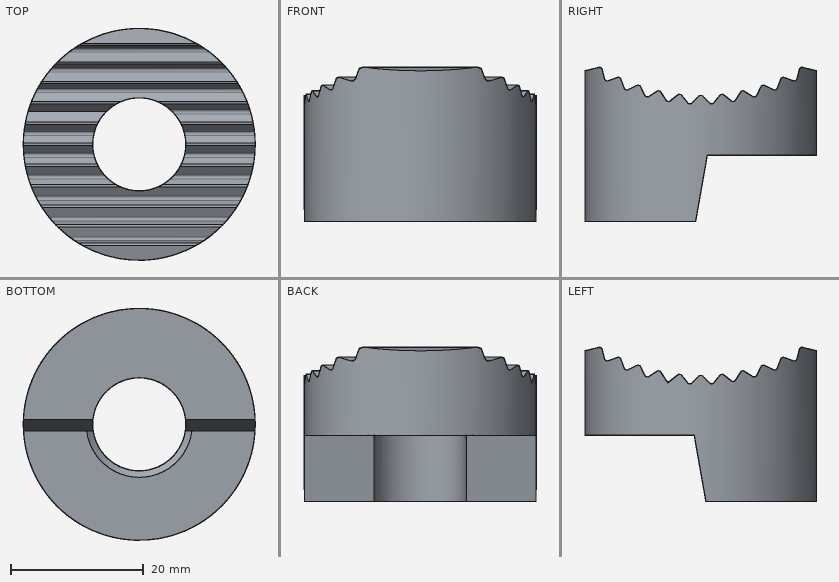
import cadquery as cq
import math

BODY_DIAMETER = 35.0
BORE_DIAMETER = 14.0
BLANK_HEIGHT = 30.0

FOOT_HEIGHT = 10.0
FOOT_WALL_Y = 1.0
FOOT_WALL_DRAFT = 10.0

BORE_CHAMFER = 1.0

SADDLE_AXIS_Z = 48.225
TIP_RADIUS = 29.0
TOOTH_PITCH = 6.21
TOOTH_HALF_ANGLE = 45.0
TEETH_PER_SIDE = 5
CREST_WIDTH = 0.38
ROOT_ROUNDING = 0.43
SHARP_ROOT = 1.5


def saddle_point(radius, angle):
    """Point (y, z) at an angle in degrees from straight below the saddle axis."""
    turn = math.radians(angle)
    return (radius * math.sin(turn), SADDLE_AXIS_Z - radius * math.cos(turn))


def root_radius():
    """Distance from the saddle axis to where the flanks of neighbouring teeth cross."""
    half_pitch = math.radians(TOOTH_PITCH / 2)
    flank = math.radians(TOOTH_HALF_ANGLE)
    return TIP_RADIUS * math.sin(flank) / math.sin(flank - half_pitch)


def root_point(position):
    """Sharp root at a position counted in pitches from the middle tooth."""
    return saddle_point(root_radius(), position * TOOTH_PITCH)


def crest_corners(tooth):
    """Both edges of a tooth's flat crest, -Y edge first."""
    truncation = CREST_WIDTH / 2 / math.tan(math.radians(TOOTH_HALF_ANGLE))
    crest_distance = TIP_RADIUS + truncation
    corner_angle = math.degrees(math.atan(CREST_WIDTH / 2 / crest_distance))
    corner_radius = math.hypot(crest_distance, CREST_WIDTH / 2)
    centre_angle = tooth * TOOTH_PITCH
    return [
        saddle_point(corner_radius, centre_angle - corner_angle),
        saddle_point(corner_radius, centre_angle + corner_angle),
    ]


def serration_outline():
    """Flat crests and sharp roots in order from -Y to +Y."""
    points = []
    for tooth in range(-TEETH_PER_SIDE, TEETH_PER_SIDE + 1):
        points.extend(crest_corners(tooth))
        if tooth < TEETH_PER_SIDE:
            points.append(root_point(tooth + 0.5))
    return points


def saddle_cutter():
    """Solid filling the space above the teeth, with rounded roots."""
    serrations = serration_outline()
    last_y, last_z = serrations[-1]
    outer_slope = math.radians(TOOTH_HALF_ANGLE - TEETH_PER_SIDE * TOOTH_PITCH)
    rim_y = BODY_DIAMETER
    rim_z = last_z - (rim_y - last_y) * math.tan(outer_slope)
    outline = [(-rim_y, rim_z)] + serrations + [(rim_y, rim_z)]
    cutter = (
        cq.Workplane("YZ")
        .polyline(outline + [(rim_y, BLANK_HEIGHT), (-rim_y, BLANK_HEIGHT)])
        .close()
        .extrude(BODY_DIAMETER / 2, both=True)
    )
    for tooth in range(-TEETH_PER_SIDE, TEETH_PER_SIDE):
        root_y, root_z = root_point(tooth + 0.5)
        root_edge = cq.selectors.NearestToPointSelector((0, root_y, root_z))
        cutter = cutter.edges("|X").edges(root_edge).fillet(ROOT_ROUNDING)
    return cutter


def sharp_root_cutter():
    """Wedge that takes one root back to a sharp V on the -X side of the bore."""
    outline = [
        crest_corners(SHARP_ROOT - 0.5)[1],
        root_point(SHARP_ROOT),
        crest_corners(SHARP_ROOT + 0.5)[0],
    ]
    return cq.Workplane("YZ").polyline(outline).close().extrude(-BODY_DIAMETER / 2)


def bore_chamfer_cutter():
    """Cone flaring the bore out to the underside of the body, behind the foot wall."""
    cone = cq.Solid.makeCone(
        BORE_DIAMETER / 2 + BORE_CHAMFER,
        BORE_DIAMETER / 2,
        BORE_CHAMFER,
        pnt=cq.Vector(0, 0, FOOT_HEIGHT),
    )
    behind_wall = (
        cq.Workplane("XY")
        .box(BODY_DIAMETER, BODY_DIAMETER, BLANK_HEIGHT, centered=(True, False, False))
        .translate((0, FOOT_WALL_Y, 0))
    )
    return behind_wall.intersect(cq.Workplane(cone))


def foot_clearance():
    """Space behind the foot, bounded by its drafted wall."""
    wall_bottom_y = FOOT_WALL_Y - FOOT_HEIGHT * math.tan(math.radians(FOOT_WALL_DRAFT))
    return (
        cq.Workplane("YZ")
        .polyline(
            [
                (wall_bottom_y, 0),
                (FOOT_WALL_Y, FOOT_HEIGHT),
                (BODY_DIAMETER, FOOT_HEIGHT),
                (BODY_DIAMETER, 0),
            ]
        )
        .close()
        .extrude(BODY_DIAMETER / 2, both=True)
    )


blank = (
    cq.Workplane("XY")
    .circle(BODY_DIAMETER / 2)
    .circle(BORE_DIAMETER / 2)
    .extrude(BLANK_HEIGHT)
)

result = (
    blank.cut(saddle_cutter())
    .cut(sharp_root_cutter())
    .cut(foot_clearance())
    .cut(bore_chamfer_cutter())
)